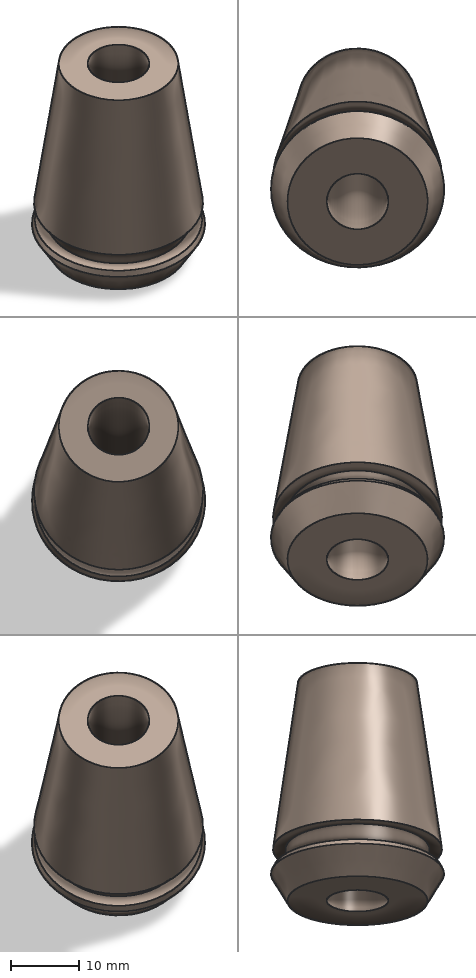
import cadquery as cq
import math

length = 34.0
bore_diameter = 9.0

rim_height = 4.2
collar_top = 5.03
groove_top = 8.1

rim_diameter = 25.43
collar_top_diameter = 24.55
groove_diameter = 21.1
taper_base_diameter = 24.82
nose_angle = 30.0
taper_angle = 8.0


def cone_radius_change(height, half_angle):
    """Radius change of a cone over the given height."""
    return height * math.tan(math.radians(half_angle))


rim_radius = rim_diameter / 2
groove_radius = groove_diameter / 2
taper_base_radius = taper_base_diameter / 2
bottom_radius = rim_radius - cone_radius_change(rim_height, nose_angle)
top_radius = taper_base_radius - cone_radius_change(length - groove_top, taper_angle)

half_section = (
    cq.Workplane("XZ")
    .moveTo(0, 0)
    .lineTo(bottom_radius, 0)
    .lineTo(rim_radius, rim_height)
    .lineTo(collar_top_diameter / 2, collar_top)
    .lineTo(groove_radius, collar_top)
    .lineTo(groove_radius, groove_top)
    .lineTo(taper_base_radius, groove_top)
    .lineTo(top_radius, length)
    .lineTo(0, length)
    .close()
)
body = half_section.revolve(360, (0, 0, 0), (0, 1, 0))

bore = cq.Workplane("XY").circle(bore_diameter / 2).extrude(length)

result = body.cut(bore)